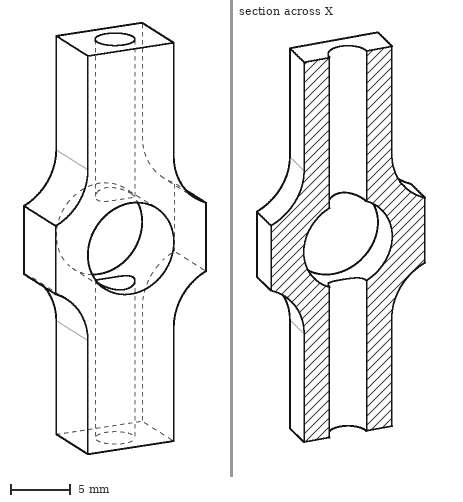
import cadquery as cq
import math

thickness = 6.0
hub_width = 14.0
height = 35.0

arm_width = 8.0
arm_straight_length = 10.0
hub_flat_height = 6.0

hub_bore_diameter = 8.0
arm_hole_diameter = 3.33

half_arm = arm_width / 2
half_hub = hub_width / 2
half_height = height / 2
half_flat = hub_flat_height / 2
arc_start_z = half_height - arm_straight_length

arc_run = half_hub - half_arm
arc_drop = arc_start_z - half_flat
corner_radius = (arc_run**2 + arc_drop**2) / (2 * arc_run)
arc_angle = math.asin(arc_drop / corner_radius)
arc_mid_y = half_arm + corner_radius * (1 - math.cos(arc_angle / 2))
arc_mid_z = arc_start_z - corner_radius * math.sin(arc_angle / 2)


def make_body():
    """Cross-shaped outline in the YZ plane, extruded symmetrically along X."""
    return (
        cq.Workplane("YZ")
        .moveTo(-half_arm, half_height)
        .lineTo(half_arm, half_height)
        .lineTo(half_arm, arc_start_z)
        .threePointArc((arc_mid_y, arc_mid_z), (half_hub, half_flat))
        .lineTo(half_hub, -half_flat)
        .threePointArc((arc_mid_y, -arc_mid_z), (half_arm, -arc_start_z))
        .lineTo(half_arm, -half_height)
        .lineTo(-half_arm, -half_height)
        .lineTo(-half_arm, -arc_start_z)
        .threePointArc((-arc_mid_y, -arc_mid_z), (-half_hub, -half_flat))
        .lineTo(-half_hub, half_flat)
        .threePointArc((-arc_mid_y, arc_mid_z), (-half_arm, arc_start_z))
        .close()
        .extrude(thickness / 2, both=True)
    )


def make_hub_bore():
    """Bore through the hub along X."""
    return cq.Workplane("YZ").circle(hub_bore_diameter / 2).extrude(thickness / 2, both=True)


def make_arm_hole():
    """Hole along Z through both arms, crossing the hub bore."""
    return cq.Workplane("XY").circle(arm_hole_diameter / 2).extrude(half_height, both=True)


result = make_body().cut(make_hub_bore()).cut(make_arm_hole())